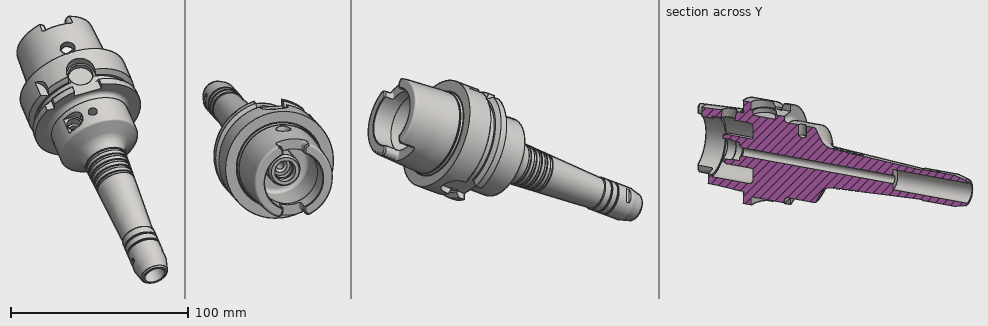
import cadquery as cq
import math


LENGTH = 172.0

TAPER_START_R = 22.7
TAPER_END_R = 24.3
TAPER_END_X = 29.8
TAPER_RIM_FILLET = 1.2
UNDERCUT_R = 23.9
UNDERCUT_START_X = 30.5
UNDERCUT_END_X = 31.0
FACE_RECESS_R = 25.1
FACE_RECESS_INNER_R = 24.6
FACE_RECESS_DEPTH = 0.5

FLANGE_X = 31.6
FLANGE_END_X = 57.6
FLANGE_R = 31.5
GROOVE_R = 27.3
GROOVE_START_X = 46.5
GROOVE_END_X = 53.7
GROOVE_BEVEL = 1.7
GROOVE_BEVEL_DEPTH = 3.0

BODY_R = 23.0
BODY_START_X = 60.7
BODY_NECK_R = 25.1
SHOULDER_X = 76.4
SHOULDER_ROUND = 1.0
SHOULDER_ANGLE = 62.0
CONE_END_R = 15.5
NECK_BLEND_R = 7.5

NECK_END_X = 87.2
NECK_END_R = 12.2
COLLAR_X = 143.6
COLLAR_ROOT_R = 9.1
COLLAR_R = 9.6
COLLAR_CHAMFER = 0.5
TIP_CONE_X = 164.3
TIP_R = 7.9
TIP_CHAMFER = 0.9

RING_COUNT = 5
RING_FIRST_X = 89.1
RING_PITCH = 4.0
RING_WIDTH = 1.9
RING_DEPTH = 0.3
COLLAR_RINGS_X = (148.6, 153.0)
COLLAR_RING_WIDTH = 1.0
COLLAR_RING_DEPTH = 0.2

MOUTH_R = 17.0
MOUTH_DEPTH = 12.4
MOUTH_CHAMFER = 0.3
CAVITY_R = 18.4
CAVITY_FLOOR_X = 37.8
CAVITY_FLOOR_FILLET = 2.5
TUBE_R = 9.1
TUBE_START_X = 19.1
TUBE_NOSE_R = 8.0
TUBE_NOSE_LENGTH = 2.2
SOCKET_R = 6.0
SOCKET_DEPTH = 5.2
SOCKET_STEP_R = 5.5
SOCKET_STEP_DEPTH = 5.2
FUNNEL_R = 3.8
COOLANT_R = 4.6 / 2
TOOL_BORE_R = 6.0
TOOL_BORE_DEPTH = 46.5

SLOT_HALF_WIDTH = 6.2
SLOT_TOP_DEPTH = 5.8
SLOT_BOTTOM_DEPTH = 9.8
SLOT_CORNER_R = 1.0
SLOT_FLARE_R = 3.1
SLOT_FLARE_START_Z = 17.9
SLOT_RIM_CHAMFER = 0.9

CUTTER_R = 16.0 / 2
KEYWAY_CENTER_X = 44.9
KEYWAY_FLOOR_Z = 26.5
POCKET_R = 14.0 / 2
POCKET_DEPTH = 2.8
NOTCH_CENTER_X = 44.2
NOTCH_OFFSET = 20.0

WALL_HOLE_X = 23.0
WALL_HOLE_R = 4.1
WALL_HOLE_TILT = 10.0

SEAT_X = 68.8
SEAT_Y = -12.2
SEAT_R = 5.0
SEAT_FLOOR_Z = 15.8
SCREW_HEAD_R = 4.0
SCREW_HEAD_DEPTH = 5.2
SCREW_R = 2.5
SCREW_DEPTH = 8.6
DRILL_HALF_ANGLE = 59.0
SIDE_HOLE_R = 2.0
SIDE_HOLE_Z = 18.5
SIDE_HOLE_END_Y = -4.3
VENT_Y = -1.0
VENT_R = 5.0 / 2
VENT_FLOOR_Z = 16.3

FLAT_X = 160.5
FLAT_HALF_WIDTH = 1.0
FLAT_Y = 8.6
FLAT_WALL_ANGLE = 30.0

CLEAR = 1.7
PICK = 0.2


def turn(profile):
    """Revolve a closed (x, radius) profile about the X axis."""
    return profile.close().revolve(360, (0, 0, 0), (1, 0, 0))


def upright_drill(x, y, radius, floor_z, top_z):
    """Flat-ended cylinder along Z."""
    return cq.Workplane("XY", origin=(x, y, floor_z)).circle(radius).extrude(top_z - floor_z)


def pointed_drill(x, y, radius, floor_z, top_z):
    """Cylinder along Z with a drill point below its full-diameter depth."""
    point = radius / math.tan(math.radians(DRILL_HALF_ANGLE))
    profile = cq.Workplane("XZ", origin=(x, y, 0)).polyline(
        [(0, floor_z - point), (radius, floor_z), (radius, top_z), (0, top_z)]
    )
    return profile.close().revolve(360, (0, 0, 0), (0, 1, 0))


def outer_body():
    """Turned outside of the whole holder, without the rings and the groove."""
    shoulder = math.radians(SHOULDER_ANGLE)
    cone_start_x = SHOULDER_X + SHOULDER_ROUND * math.sin(shoulder)
    cone_start_r = BODY_R - SHOULDER_ROUND * (1 - math.cos(shoulder))
    blend_center_r = NECK_END_R + NECK_BLEND_R
    blend_angle = math.acos((blend_center_r - CONE_END_R) / NECK_BLEND_R)
    blend_mid = blend_angle / 2
    round_mid = shoulder / 2
    recess_x = FLANGE_X + FACE_RECESS_DEPTH
    rim_mid = TAPER_RIM_FILLET * (1 - math.sqrt(0.5))
    profile = (
        cq.Workplane("XY")
        .moveTo(0, 0)
        .lineTo(0, TAPER_START_R - TAPER_RIM_FILLET)
        .threePointArc((rim_mid, TAPER_START_R - rim_mid), (TAPER_RIM_FILLET, TAPER_START_R))
        .lineTo(TAPER_END_X, TAPER_END_R)
        .lineTo(UNDERCUT_START_X, UNDERCUT_R)
        .lineTo(UNDERCUT_END_X, UNDERCUT_R)
        .lineTo(recess_x, FACE_RECESS_INNER_R)
        .lineTo(recess_x, FACE_RECESS_R)
        .lineTo(FLANGE_X, FACE_RECESS_R)
        .lineTo(FLANGE_X, FLANGE_R)
        .lineTo(FLANGE_END_X, FLANGE_R)
        .lineTo(FLANGE_END_X, BODY_NECK_R)
        .tangentArcPoint((BODY_START_X, BODY_R), relative=False)
        .lineTo(SHOULDER_X, BODY_R)
        .threePointArc(
            (
                SHOULDER_X + SHOULDER_ROUND * math.sin(round_mid),
                BODY_R - SHOULDER_ROUND * (1 - math.cos(round_mid)),
            ),
            (cone_start_x, cone_start_r),
        )
        .lineTo(NECK_END_X - NECK_BLEND_R * math.sin(blend_angle), CONE_END_R)
        .threePointArc(
            (
                NECK_END_X - NECK_BLEND_R * math.sin(blend_mid),
                blend_center_r - NECK_BLEND_R * math.cos(blend_mid),
            ),
            (NECK_END_X, NECK_END_R),
        )
        .lineTo(COLLAR_X, COLLAR_ROOT_R)
        .lineTo(COLLAR_X + COLLAR_CHAMFER, COLLAR_R)
        .lineTo(TIP_CONE_X, COLLAR_R)
        .lineTo(LENGTH - TIP_CHAMFER, TIP_R)
        .lineTo(LENGTH, TIP_R - TIP_CHAMFER)
        .lineTo(LENGTH, 0)
    )
    return turn(profile)


def gripper_groove():
    """Ring groove with straight walls and bevelled rims."""
    rim = FLANGE_R + CLEAR
    corner_r = FLANGE_R - GROOVE_BEVEL_DEPTH
    bottom_start_x = GROOVE_START_X + GROOVE_BEVEL
    bottom_end_x = GROOVE_END_X - GROOVE_BEVEL
    outline = cq.Workplane("XY").polyline(
        [
            (GROOVE_START_X, rim),
            (GROOVE_START_X, FLANGE_R),
            (bottom_start_x, corner_r),
            (bottom_start_x, GROOVE_R),
            (bottom_end_x, GROOVE_R),
            (bottom_end_x, corner_r),
            (GROOVE_END_X, FLANGE_R),
            (GROOVE_END_X, rim),
        ]
    )
    return turn(outline)


def nose_radius(x):
    """Radius of the slender nose between the neck and the collar."""
    return NECK_END_R + (COLLAR_ROOT_R - NECK_END_R) * (x - NECK_END_X) / (COLLAR_X - NECK_END_X)


def ring_cutter(center_x, surface_r, width, depth):
    """Ring groove with 45 degree flanks."""
    half = width / 2
    return turn(
        cq.Workplane("XY").polyline(
            [
                (center_x - half - CLEAR, surface_r + CLEAR),
                (center_x - half + depth, surface_r - depth),
                (center_x + half - depth, surface_r - depth),
                (center_x + half + CLEAR, surface_r + CLEAR),
            ]
        )
    )


def shank_cavity():
    """Hollow of the taper around the standing coolant tube."""
    mid = CAVITY_FLOOR_FILLET * (1 - math.sqrt(0.5))
    hollow = turn(
        cq.Workplane("XY")
        .moveTo(0, 0)
        .lineTo(0, MOUTH_R + MOUTH_CHAMFER)
        .lineTo(MOUTH_CHAMFER, MOUTH_R)
        .lineTo(MOUTH_DEPTH, MOUTH_R)
        .lineTo(MOUTH_DEPTH, CAVITY_R)
        .lineTo(CAVITY_FLOOR_X - CAVITY_FLOOR_FILLET, CAVITY_R)
        .threePointArc(
            (CAVITY_FLOOR_X - mid, CAVITY_R - mid),
            (CAVITY_FLOOR_X, CAVITY_R - CAVITY_FLOOR_FILLET),
        )
        .lineTo(CAVITY_FLOOR_X, 0)
    )
    tube = turn(
        cq.Workplane("XY").polyline(
            [
                (TUBE_START_X, 0),
                (TUBE_START_X, TUBE_NOSE_R),
                (TUBE_START_X + TUBE_NOSE_LENGTH, TUBE_R),
                (CAVITY_FLOOR_X, TUBE_R),
                (CAVITY_FLOOR_X, 0),
            ]
        )
    )
    return hollow.cut(tube)


def axial_bore():
    """Stepped coolant passage from the tube to the tool bore."""
    step_x = TUBE_START_X + SOCKET_DEPTH
    funnel_x = step_x + SOCKET_STEP_DEPTH
    tool_bore_x = LENGTH - TOOL_BORE_DEPTH
    profile = cq.Workplane("XY").polyline(
        [
            (TUBE_START_X, 0),
            (TUBE_START_X, SOCKET_R),
            (step_x, SOCKET_R),
            (step_x + SOCKET_R - SOCKET_STEP_R, SOCKET_STEP_R),
            (funnel_x, SOCKET_STEP_R),
            (funnel_x, FUNNEL_R),
            (funnel_x + FUNNEL_R - COOLANT_R, COOLANT_R),
            (tool_bore_x, COOLANT_R),
            (tool_bore_x, TOOL_BORE_R),
            (LENGTH, TOOL_BORE_R),
            (LENGTH, 0),
        ]
    )
    return turn(profile)


def slot_outline(widen):
    """Cross-section of the upper drive slot, flared towards the outside."""
    wall = SLOT_HALF_WIDTH + widen
    flare = SLOT_FLARE_R - widen
    flare_y = SLOT_HALF_WIDTH + SLOT_FLARE_R
    flare_z = SLOT_FLARE_START_Z + flare
    mid_y = flare_y - flare * math.sqrt(0.5)
    mid_z = SLOT_FLARE_START_Z + flare * math.sqrt(0.5)
    top_z = TAPER_END_R + CLEAR
    return (
        cq.Workplane("YZ")
        .moveTo(-wall, MOUTH_R - 2 * CLEAR)
        .lineTo(wall, MOUTH_R - 2 * CLEAR)
        .lineTo(wall, SLOT_FLARE_START_Z)
        .threePointArc((mid_y, mid_z), (flare_y, flare_z))
        .lineTo(flare_y, top_z)
        .lineTo(-flare_y, top_z)
        .lineTo(-flare_y, flare_z)
        .threePointArc((-mid_y, mid_z), (-wall, SLOT_FLARE_START_Z))
        .close()
    )


def drive_slot(depth):
    """Upper drive slot with rounded floor corners and a chamfered mouth."""
    floor_edges = cq.selectors.BoxSelector(
        (depth - PICK, -SLOT_HALF_WIDTH - SLOT_FLARE_R, MOUTH_R - CLEAR),
        (depth + PICK, SLOT_HALF_WIDTH + SLOT_FLARE_R, TAPER_END_R),
    )
    slot = slot_outline(0).extrude(depth).edges(floor_edges).fillet(SLOT_CORNER_R)
    rim = slot_outline(SLOT_RIM_CHAMFER).extrude(SLOT_RIM_CHAMFER, taper=45)
    return slot.union(rim)


def flange_slot(center_x, center_y, floor_z):
    """Round-ended slot in the flange, open towards the tool end."""
    height = FLANGE_R + CLEAR - floor_z
    run = FLANGE_END_X - center_x
    floor = cq.Workplane("XY", origin=(center_x, center_y, floor_z))
    channel = floor.rect(run, 2 * CUTTER_R).extrude(height).translate((run / 2, 0, 0))
    return floor.circle(CUTTER_R).extrude(height).union(channel)


def wall_hole():
    """Inclined hole through the upper taper wall."""
    reach = TAPER_END_R - CAVITY_R
    drill = cq.Workplane("XY").circle(WALL_HOLE_R).extrude(reach, both=True)
    mean_r = (TAPER_START_R + TAPER_END_R) / 2
    tilted = drill.rotate((0, 0, 0), (0, 1, 0), WALL_HOLE_TILT)
    return tilted.translate((WALL_HOLE_X, 0, mean_r))


def screw_seat():
    """Round-backed seat open towards -Y, with its stepped screw hole."""
    height = BODY_R + CLEAR - SEAT_FLOOR_Z
    floor = cq.Workplane("XY", origin=(SEAT_X, SEAT_Y, SEAT_FLOOR_Z))
    mouth = floor.rect(2 * SEAT_R, BODY_R).extrude(height).translate((0, -BODY_R / 2, 0))
    head = upright_drill(SEAT_X, SEAT_Y, SCREW_HEAD_R, SEAT_FLOOR_Z - SCREW_HEAD_DEPTH, BODY_R)
    screw = pointed_drill(SEAT_X, SEAT_Y, SCREW_R, SEAT_FLOOR_Z - SCREW_DEPTH, BODY_R)
    return floor.circle(SEAT_R).extrude(height).union(mouth).union(head).union(screw)


def side_hole():
    """Hole running along Y from the back of the screw seat."""
    start = cq.Workplane("XZ", origin=(SEAT_X, SIDE_HOLE_END_Y, SIDE_HOLE_Z))
    return start.circle(SIDE_HOLE_R).extrude(SIDE_HOLE_END_Y - SEAT_Y)


def tip_flat():
    """Flat with sloping walls on the +Y side of the tip."""
    depth = COLLAR_R + CLEAR - FLAT_Y
    spread = depth * math.tan(math.radians(FLAT_WALL_ANGLE))
    outline = cq.Workplane("XY").polyline(
        [
            (FLAT_X - FLAT_HALF_WIDTH, FLAT_Y),
            (FLAT_X + FLAT_HALF_WIDTH, FLAT_Y),
            (FLAT_X + FLAT_HALF_WIDTH + spread, FLAT_Y + depth),
            (FLAT_X - FLAT_HALF_WIDTH - spread, FLAT_Y + depth),
        ]
    )
    return outline.close().extrude(COLLAR_R, both=True)


result = outer_body().cut(gripper_groove())

for index in range(RING_COUNT):
    ring_x = RING_FIRST_X + index * RING_PITCH
    result = result.cut(ring_cutter(ring_x, nose_radius(ring_x), RING_WIDTH, RING_DEPTH))
for ring_x in COLLAR_RINGS_X:
    result = result.cut(ring_cutter(ring_x, COLLAR_R, COLLAR_RING_WIDTH, COLLAR_RING_DEPTH))

result = result.cut(shank_cavity()).cut(axial_bore())

result = result.cut(drive_slot(SLOT_TOP_DEPTH))
result = result.cut(drive_slot(SLOT_BOTTOM_DEPTH).mirror("XY"))

keyway = flange_slot(KEYWAY_CENTER_X, 0, KEYWAY_FLOOR_Z)
result = result.cut(keyway).cut(keyway.mirror("XY"))
pocket_floor_z = KEYWAY_FLOOR_Z - POCKET_DEPTH
result = result.cut(upright_drill(KEYWAY_CENTER_X, 0, POCKET_R, pocket_floor_z, FLANGE_R))

result = result.cut(flange_slot(NOTCH_CENTER_X, -NOTCH_OFFSET - CUTTER_R, NOTCH_OFFSET))

result = result.cut(wall_hole())
result = result.cut(screw_seat()).cut(side_hole())
result = result.cut(pointed_drill(SEAT_X, VENT_Y, VENT_R, VENT_FLOOR_Z, BODY_R + CLEAR))
result = result.cut(tip_flat()).cut(tip_flat().mirror("XZ"))